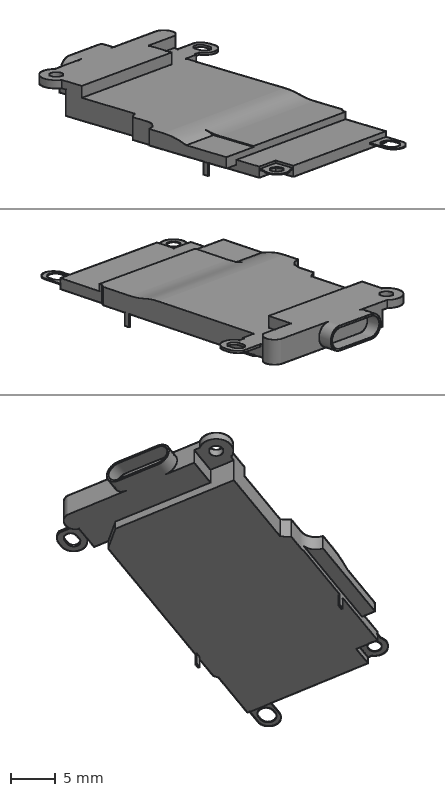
import cadquery as cq
import math

TOTAL_HEIGHT = 5.7
BODY_BOTTOM = 1.6
OVERHANG_BOTTOM = 2.35
HEAD_BOTTOM = 2.7
SHELF_TOP = 2.9
LOW_TOP = 3.65
PAD_TOP = 3.8
BODY_TOP = 4.3
SCREW_LUG_BOTTOM = 4.7
PLATE_THICKNESS = 0.12

TOTAL_LENGTH = 41.6
HEAD_LEFT = 1.8
HEAD_STRIP_RIGHT = 4.35
BODY_LEFT = 5.4
HEAD_CORNER_RIGHT = 7.7
HEAD_RIGHT = 7.8
NOTCH_SLOPE_START = 15.7
NOTCH_SLOPE_END = 16.3
NOTCH_ARC_START = 18.43
BASE_LEFT = 18.65
NOTCH_ARC_END = 20.35
RAMP_START = 22.45
PAD_START = 24.7
RAMP_END = 25.88
PAD_RAMP_END = 26.85
CORNER_SLOPE_START = 30.95
CORNER_SLOPE_END = 31.5
BODY_RIGHT = 31.85
SHELF_RIGHT = 37.9

SHELF_FRONT = 1.65
NOTCH_FRONT = 1.75
BODY_FRONT = 2.8
PAD_FRONT = 4.55
HEAD_UNDERCUT_BACK = 5.8
HEAD_BACK = 17.8
SHELF_BACK = 19.93
BODY_BACK = 20.3
HEAD_CORNER_BACK = 22.1
HEAD_STRIP_BACK = 23.15
TOTAL_WIDTH = 25.85

SCREW_HOLE_RADIUS = 0.8
SCREW_LUG_RADIUS = 1.9
SCREW_LUG_CENTER = (3.15, 3.75)
THIN_LUG_RADIUS = 1.5
THIN_LUG_CENTER = (36.77, 2.9)
THIN_LUG_TOP = 2.6
THIN_LUG_LEFT = 35.28
THIN_LUG_BACK = 4.4

SIDE_EAR_FRONT = 17.2
SIDE_EAR_TOP = 2.25
SIDE_EAR_SLOT_CENTER = (39.75, 18.5)
SIDE_EAR_SLOT = (2.35, 1.9)
REAR_EAR_LEFT = 4.9
REAR_EAR_NECK_RIGHT = 7.45
REAR_EAR_RADIUS = 1.55
REAR_EAR_THICKNESS = 0.3
REAR_EAR_SLOT_CENTER = (6.6, TOTAL_WIDTH - REAR_EAR_RADIUS)
REAR_EAR_SLOT = (2.15, 1.55)

CONNECTOR_CENTER_Y = 12.0
CONNECTOR_WIDTH = 8.03
CONNECTOR_WALL = 0.25

TAB_LEFT = 26.95
TAB_WIDTH = 0.65
TAB_THICKNESS = 0.2


def block(x0, x1, y0, y1, z0, z1):
    """Box between two corners."""
    return cq.Workplane("XY").box(x1 - x0, y1 - y0, z1 - z0, centered=False).translate((x0, y0, z0))


def cylinder(center, radius, z0, z1):
    """Upright cylinder."""
    return cq.Workplane("XY", origin=(0, 0, z0)).center(*center).circle(radius).extrude(z1 - z0)


def slot(center, size, z0, z1):
    """Upright slot-shaped prism with its length along X."""
    return cq.Workplane("XY", origin=(0, 0, z0)).center(*center).slot2D(*size).extrude(z1 - z0)


ramp_length = RAMP_END - RAMP_START
ramp_drop = BODY_TOP - LOW_TOP
ramp_radius = (ramp_length**2 + ramp_drop**2) / (2 * ramp_drop)


def ramp_height(x):
    """Height of the convex ramp at x."""
    return BODY_TOP - ramp_radius + math.sqrt(ramp_radius**2 - (x - RAMP_START) ** 2)


def make_body():
    """Plate with a stepped front edge and a ramp falling towards +X."""
    outline = (
        cq.Workplane("XY", origin=(0, 0, BODY_BOTTOM))
        .moveTo(BODY_LEFT, BODY_FRONT)
        .lineTo(NOTCH_SLOPE_START, BODY_FRONT)
        .lineTo(NOTCH_SLOPE_END, NOTCH_FRONT)
        .lineTo(NOTCH_ARC_START, NOTCH_FRONT)
        .tangentArcPoint((NOTCH_ARC_END, 0), relative=False)
        .lineTo(BODY_RIGHT, 0)
        .lineTo(BODY_RIGHT, SHELF_BACK)
        .lineTo(CORNER_SLOPE_END, SHELF_BACK)
        .lineTo(CORNER_SLOPE_START, BODY_BACK)
        .lineTo(HEAD_CORNER_RIGHT, BODY_BACK)
        .lineTo(BODY_LEFT, BODY_BACK - (HEAD_CORNER_RIGHT - BODY_LEFT))
        .close()
        .extrude(BODY_TOP - BODY_BOTTOM)
    )
    ramp_middle = (RAMP_START + RAMP_END) / 2
    profile = (
        cq.Workplane("XZ")
        .moveTo(BODY_LEFT, BODY_BOTTOM)
        .lineTo(BODY_LEFT, BODY_TOP)
        .lineTo(RAMP_START, BODY_TOP)
        .threePointArc((ramp_middle, ramp_height(ramp_middle)), (RAMP_END, LOW_TOP))
        .lineTo(BODY_RIGHT, LOW_TOP)
        .lineTo(BODY_RIGHT, BODY_BOTTOM)
        .close()
        .extrude(-TOTAL_WIDTH)
    )
    undercut = block(BASE_LEFT, BODY_RIGHT, 0, SHELF_FRONT, BODY_BOTTOM, OVERHANG_BOTTOM)
    return outline.intersect(profile).cut(undercut)


def make_pad():
    """Slightly raised pad whose concave start blends into the ramp and runs out level."""
    length = PAD_RAMP_END - PAD_START
    drop = ramp_height(PAD_START) - PAD_TOP
    radius = (length**2 + drop**2) / (2 * drop)
    middle_height = PAD_TOP + radius - math.sqrt(radius**2 - (length / 2) ** 2)
    pad = (
        cq.Workplane("XZ", origin=(0, PAD_FRONT, 0))
        .moveTo(PAD_START, BODY_BOTTOM)
        .lineTo(PAD_START, ramp_height(PAD_START))
        .threePointArc((PAD_START + length / 2, middle_height), (PAD_RAMP_END, PAD_TOP))
        .lineTo(BODY_RIGHT, PAD_TOP)
        .lineTo(BODY_RIGHT, BODY_BOTTOM)
        .close()
        .extrude(PAD_FRONT - BODY_BACK)
    )
    corner = (
        cq.Workplane("XY")
        .moveTo(CORNER_SLOPE_START, BODY_BACK)
        .lineTo(CORNER_SLOPE_END, SHELF_BACK)
        .lineTo(BODY_RIGHT, SHELF_BACK)
        .lineTo(BODY_RIGHT, BODY_BACK)
        .close()
        .extrude(TOTAL_HEIGHT)
    )
    return pad.cut(corner)


def make_shelf():
    """Low shelf at the +X end, notched at the front corner for the thin lug."""
    shelf = block(BODY_RIGHT, SHELF_RIGHT, SHELF_FRONT, SHELF_BACK, BODY_BOTTOM, SHELF_TOP)
    return shelf.cut(block(THIN_LUG_LEFT, SHELF_RIGHT, SHELF_FRONT, THIN_LUG_BACK, BODY_BOTTOM, SHELF_TOP))


def make_head():
    """Tall -X end with a rounded strip, a lower rear corner and a front undercut."""
    main = block(HEAD_LEFT, HEAD_RIGHT, BODY_FRONT, HEAD_BACK, HEAD_BOTTOM, TOTAL_HEIGHT)
    undercut = block(HEAD_LEFT, BODY_LEFT, BODY_FRONT, HEAD_UNDERCUT_BACK, HEAD_BOTTOM, SCREW_LUG_BOTTOM)
    strip = (
        cq.Workplane("XY", origin=(0, 0, HEAD_BOTTOM))
        .moveTo(HEAD_LEFT, HEAD_BACK)
        .lineTo(HEAD_STRIP_RIGHT, HEAD_BACK)
        .lineTo(HEAD_STRIP_RIGHT, HEAD_CORNER_BACK)
        .threePointArc(((HEAD_LEFT + HEAD_STRIP_RIGHT) / 2, HEAD_STRIP_BACK), (HEAD_LEFT, HEAD_CORNER_BACK))
        .close()
        .extrude(TOTAL_HEIGHT - HEAD_BOTTOM)
    )
    corner = block(HEAD_STRIP_RIGHT, HEAD_CORNER_RIGHT, HEAD_BACK, HEAD_CORNER_BACK, HEAD_BOTTOM, BODY_TOP)
    lug = cylinder(SCREW_LUG_CENTER, SCREW_LUG_RADIUS, SCREW_LUG_BOTTOM, TOTAL_HEIGHT)
    hole = cylinder(SCREW_LUG_CENTER, SCREW_HOLE_RADIUS, SCREW_LUG_BOTTOM, TOTAL_HEIGHT)
    return main.cut(undercut).union(strip).union(corner).union(lug).cut(hole)


def connector_prism(inset, length):
    """Rounded connector section, shrunk by inset and running along +X."""
    height = TOTAL_HEIGHT - HEAD_BOTTOM
    return (
        cq.Workplane("YZ", origin=(0, CONNECTOR_CENTER_Y, HEAD_BOTTOM + height / 2))
        .slot2D(CONNECTOR_WIDTH - 2 * inset, height - 2 * inset)
        .extrude(length)
    )


def make_thin_lug():
    """Thin screw lug filling the shelf notch."""
    center_x, center_y = THIN_LUG_CENTER
    bottom = THIN_LUG_TOP - PLATE_THICKNESS
    left = block(THIN_LUG_LEFT, center_x, SHELF_FRONT, THIN_LUG_BACK, bottom, THIN_LUG_TOP)
    right = block(center_x, SHELF_RIGHT, center_y, THIN_LUG_BACK, bottom, THIN_LUG_TOP)
    lug = cylinder(THIN_LUG_CENTER, THIN_LUG_RADIUS, bottom, THIN_LUG_TOP)
    hole = cylinder(THIN_LUG_CENTER, SCREW_HOLE_RADIUS, bottom, THIN_LUG_TOP)
    return left.union(right).union(lug).cut(hole)


def make_side_ear():
    """Thin slotted ear on the +X face."""
    radius = (SHELF_BACK - SIDE_EAR_FRONT) / 2
    center = (TOTAL_LENGTH - radius, SHELF_BACK - radius)
    bottom = SIDE_EAR_TOP - PLATE_THICKNESS
    arm = block(SHELF_RIGHT, center[0], SIDE_EAR_FRONT, SHELF_BACK, bottom, SIDE_EAR_TOP)
    ear = arm.union(cylinder(center, radius, bottom, SIDE_EAR_TOP))
    return ear.cut(slot(SIDE_EAR_SLOT_CENTER, SIDE_EAR_SLOT, bottom, SIDE_EAR_TOP))


def make_rear_ear():
    """Slotted ear on a neck behind the head, flush with the body top and flat on its left."""
    bottom = BODY_TOP - REAR_EAR_THICKNESS
    center_x, center_y = REAR_EAR_SLOT_CENTER
    outer_width = 2 * REAR_EAR_RADIUS
    outer_length = REAR_EAR_SLOT[0] - REAR_EAR_SLOT[1] + outer_width
    neck = block(REAR_EAR_LEFT, REAR_EAR_NECK_RIGHT, HEAD_CORNER_BACK, center_y, bottom, BODY_TOP)
    left_trim = block(0, REAR_EAR_LEFT, HEAD_CORNER_BACK, TOTAL_WIDTH, bottom, BODY_TOP)
    ear = slot((center_x, center_y), (outer_length, outer_width), bottom, BODY_TOP).union(neck)
    return ear.cut(left_trim).cut(slot((center_x, center_y), REAR_EAR_SLOT, bottom, BODY_TOP))


def make_tab(front):
    """Thin tab hanging below the body."""
    return block(TAB_LEFT, TAB_LEFT + TAB_WIDTH, front, front + TAB_THICKNESS, 0, OVERHANG_BOTTOM)


result = make_body()
for piece in (
    make_pad(),
    make_shelf(),
    make_head(),
    connector_prism(0, HEAD_LEFT),
    make_thin_lug(),
    make_side_ear(),
    make_rear_ear(),
    make_tab(SHELF_FRONT),
    make_tab(BODY_BACK - TAB_THICKNESS),
):
    result = result.union(piece)
result = result.cut(connector_prism(CONNECTOR_WALL, HEAD_LEFT))